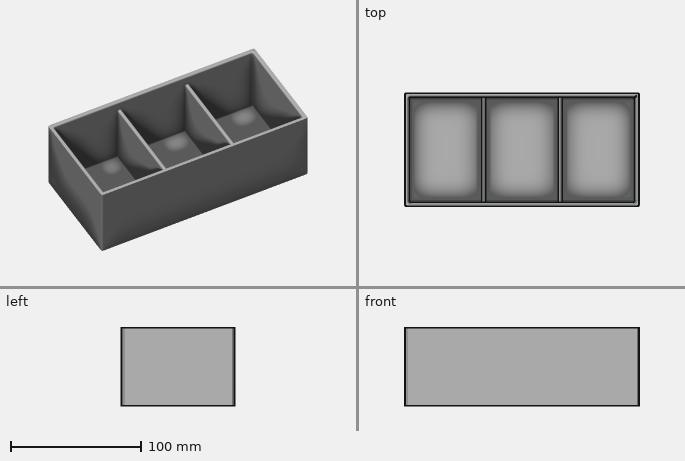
import cadquery as cq

length = 180.0
width = 87.0
height = 60.0
corner_radius = 1.6

wall = 3.2
floor = 2.0
edge_radius = 1.3
cavity_length = length - 2 * wall
cavity_width = width - 2 * wall

compartment_count = 3
divider_thickness = 3.0
divider_drop = 8.0
divider_count = compartment_count - 1
compartment_length = (cavity_length - divider_count * divider_thickness) / compartment_count
divider_pitch = compartment_length + divider_thickness


def make_shell():
    """Open box with rounded corners, a rounded inner rim and a filleted cavity.

    The cavity corner at +X +Y stays sharp; the other three are rounded.
    """
    box = cq.Workplane("XY").box(length, width, height, centered=(True, True, False))
    box = box.edges("|Z").fillet(corner_radius)
    cavity = (
        cq.Workplane("XY")
        .workplane(offset=floor)
        .box(cavity_length, cavity_width, height - floor, centered=(True, True, False))
    )
    sharp_corner = cavity.edges("|Z and >(1, 1, 0)").val()
    rounded_edges = [
        edge for edge in cavity.edges("|Z or <Z").vals() if not edge.isSame(sharp_corner)
    ]
    cavity = cavity.newObject(rounded_edges).fillet(edge_radius)
    shell = box.cut(cavity)
    rim = shell.faces(">Z").wires().vals()
    inner_rim = min(rim, key=lambda wire: wire.BoundingBox().xlen)
    return shell.newObject(inner_rim.Edges()).fillet(edge_radius)


def make_divider(x):
    """Cross wall from the underside up, with both long top edges rounded."""
    divider = cq.Workplane("XY").box(
        divider_thickness, cavity_width, height - divider_drop, centered=(True, True, False)
    )
    divider = divider.faces(">Z").edges("|Y").fillet(edge_radius)
    return divider.translate((x, 0, 0))


result = make_shell()
for index in range(divider_count):
    offset = index - (divider_count - 1) / 2
    result = result.union(make_divider(offset * divider_pitch))